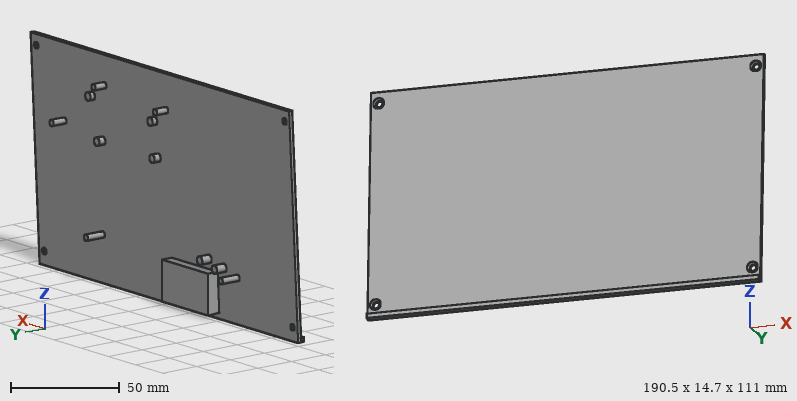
import cadquery as cq
import math

PLATE_WIDTH = 190.5
OVERALL_HEIGHT = 111.0
OVERALL_DEPTH = 14.7
PLATE_THICKNESS = 2.0
PLATE_TILT = 2.75
PLATE_LENGTH = (
    OVERALL_HEIGHT - PLATE_THICKNESS * math.sin(math.radians(PLATE_TILT))
) / math.cos(math.radians(PLATE_TILT))

LIP_DEPTH = 1.7
LIP_HEIGHT = 2.1
LIP_END_INSET = 0.2

HOLE_DIAMETER = 3.0
COUNTERSINK_DIAMETER = 5.1
COUNTERSINK_ANGLE = 90
HOLE_SIDE_INSET = 3.8
HOLE_BOTTOM_INSET = 6.9
HOLE_TOP_INSET = 5.5

PIN_DIAMETER = 3.0
PIN_CENTRES = [(43.2, 22.7), (91.6, 93.3), (137.0, 96.2), (142.5, 23.6), (167.8, 73.2)]
BOSS_DIAMETER = 4.0
BOSS_END_Y = 10.5
BOSS_CENTRES = [(53.1, 25.5), (64.0, 27.6), (99.0, 69.2), (100.5, 86.5), (139.8, 69.2), (146.3, 89.3)]

BLOCK_LEFT = 58.0
BLOCK_RIGHT = 91.6
BLOCK_BOTTOM = 3.0
BLOCK_TOP = 22.7


def tilt(body):
    """Lean a body built on an upright plate, then rest it on Z = 0 with the lip starting at Y = 0."""
    leaned = body.rotate((0, 0, 0), (1, 0, 0), -PLATE_TILT)
    angle = math.radians(PLATE_TILT)
    shift_y = LIP_DEPTH * math.cos(angle)
    shift_z = PLATE_THICKNESS * math.sin(angle)
    return leaned.translate((0, shift_y, shift_z))


def plate_middle_y(z):
    """Y of the plate's middle surface at height z."""
    return LIP_DEPTH + PLATE_THICKNESS / 2 + z * math.tan(math.radians(PLATE_TILT))


def make_plate():
    plate = cq.Workplane("XY").box(PLATE_WIDTH, PLATE_THICKNESS, PLATE_LENGTH, centered=False)
    lip = (
        cq.Workplane("XY")
        .box(PLATE_WIDTH - 2 * LIP_END_INSET, LIP_DEPTH, LIP_HEIGHT, centered=False)
        .translate((LIP_END_INSET, -LIP_DEPTH, 0))
    )
    hole_centres = [
        (x, z)
        for x in (HOLE_SIDE_INSET, PLATE_WIDTH - HOLE_SIDE_INSET)
        for z in (HOLE_BOTTOM_INSET, PLATE_LENGTH - HOLE_TOP_INSET)
    ]
    plate = (
        plate.faces("<Y")
        .workplane(origin=(0, 0, 0))
        .pushPoints(hole_centres)
        .cskHole(HOLE_DIAMETER, COUNTERSINK_DIAMETER, COUNTERSINK_ANGLE)
    )
    return tilt(plate.union(lip))


def make_post(centre, diameter, end_y):
    """Cylinder along Y, from inside the plate to a flat end."""
    x, z = centre
    start_y = plate_middle_y(z)
    return (
        cq.Workplane("XZ", origin=(x, start_y, z))
        .circle(diameter / 2)
        .extrude(start_y - end_y)
    )


def make_block():
    underside_end_z = BLOCK_BOTTOM - (BOSS_END_Y - plate_middle_y(BLOCK_BOTTOM)) * math.tan(
        math.radians(PLATE_TILT)
    )
    profile = [
        (plate_middle_y(BLOCK_BOTTOM), BLOCK_BOTTOM),
        (BOSS_END_Y, underside_end_z),
        (BOSS_END_Y, BLOCK_TOP),
        (plate_middle_y(BLOCK_TOP), BLOCK_TOP),
    ]
    return (
        cq.Workplane("YZ", origin=(BLOCK_LEFT, 0, 0))
        .polyline(profile)
        .close()
        .extrude(BLOCK_RIGHT - BLOCK_LEFT)
    )


result = make_plate().union(make_block())
for pin_centre in PIN_CENTRES:
    result = result.union(make_post(pin_centre, PIN_DIAMETER, OVERALL_DEPTH))
for boss_centre in BOSS_CENTRES:
    result = result.union(make_post(boss_centre, BOSS_DIAMETER, BOSS_END_Y))